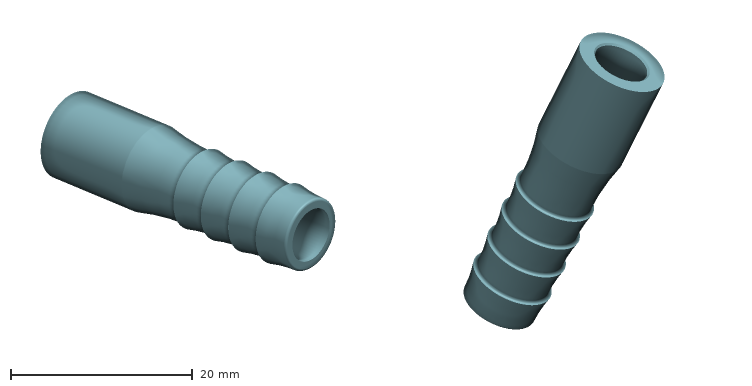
import cadquery as cq

length = 35.0
shank_diameter = 10.2
shank_radius = shank_diameter / 2
shank_length = 11.83
barbed_length = 16.0
barb_count = 4
barb_pitch = barbed_length / barb_count
barb_radius = 4.7
valley_radius = 4.27
fillet_radius = 0.3
bore_radius = 3.1
bore_chamfer = 0.2

start = -length / 2
end = length / 2
first_barb = end - barbed_length
shank_end = start + shank_length


def taper_to_valley(profile, x_from, radius_from, x_to):
    """Add a hollow arc that falls to the valley radius and ends parallel to the axis."""
    run = x_to - x_from
    drop = radius_from - valley_radius
    arc_radius = (run**2 + drop**2) / (2 * drop)
    x_mid = (x_from + x_to) / 2
    radius_mid = valley_radius + arc_radius - (arc_radius**2 - (run / 2) ** 2) ** 0.5
    return profile.threePointArc((x_mid, radius_mid), (x_to, valley_radius))


def make_body():
    """Turn the shank, the neck and the barbs as one solid."""
    profile = cq.Workplane("XY").moveTo(start, 0).lineTo(start, shank_radius)
    profile = profile.lineTo(shank_end, shank_radius)
    taper_start = shank_end
    taper_radius = shank_radius

    for index in range(barb_count):
        barb_x = first_barb + index * barb_pitch
        valley_end = barb_x - fillet_radius
        profile = taper_to_valley(profile, taper_start, taper_radius, valley_end)
        profile = profile.tangentArcPoint((barb_x, valley_radius + fillet_radius), relative=False)
        profile = profile.lineTo(barb_x, barb_radius)
        taper_start = barb_x
        taper_radius = barb_radius

    profile = taper_to_valley(profile, taper_start, taper_radius, end - fillet_radius)
    profile = profile.tangentArcPoint((end, valley_radius - fillet_radius), relative=False)
    profile = profile.lineTo(end, 0).close()
    body = profile.revolve(360, (0, 0, 0), (1, 0, 0))
    shoulder = cq.selectors.BoxSelector(
        (shank_end - fillet_radius, -shank_radius, -shank_radius),
        (shank_end + fillet_radius, shank_radius, shank_radius),
    )
    return body.edges(shoulder).edges("%CIRCLE").fillet(fillet_radius)


def make_bore():
    """Through bore with a chamfer at the shank mouth."""
    mouth_radius = bore_radius + bore_chamfer
    profile = cq.Workplane("XY").moveTo(start, 0).lineTo(start, mouth_radius)
    profile = profile.lineTo(start + bore_chamfer, bore_radius)
    profile = profile.lineTo(end, bore_radius).lineTo(end, 0).close()
    return profile.revolve(360, (0, 0, 0), (1, 0, 0))


result = make_body().cut(make_bore())